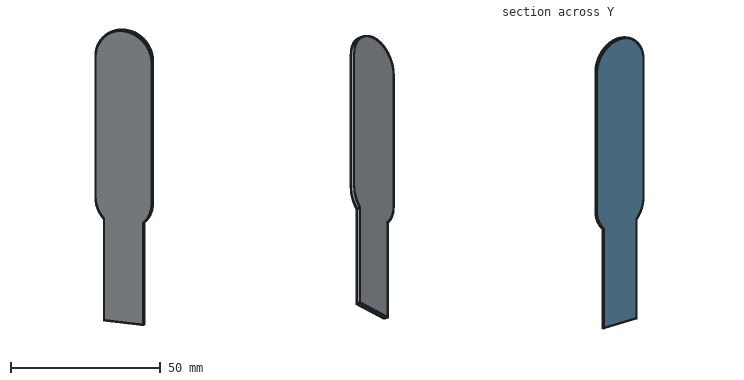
import cadquery as cq

total_length = 103.0
blade_width = 20.0
blade_straight_length = 50.0
handle_width = 14.0
thickness = 1.5

end_radius = blade_width / 2
upper_centre_z = total_length - end_radius
lower_centre_z = upper_centre_z - blade_straight_length


def make_blade():
    """Flat blade with a full semicircle at each end."""
    return (
        cq.Workplane("XZ")
        .center(0, (upper_centre_z + lower_centre_z) / 2)
        .slot2D(blade_straight_length + blade_width, blade_width, 90)
        .extrude(thickness / 2, both=True)
    )


def make_handle():
    """Narrow flat strip that runs up into the lower round end of the blade."""
    return cq.Workplane("XY").box(
        handle_width, thickness, lower_centre_z, centered=(True, True, False)
    )


result = make_blade().union(make_handle())